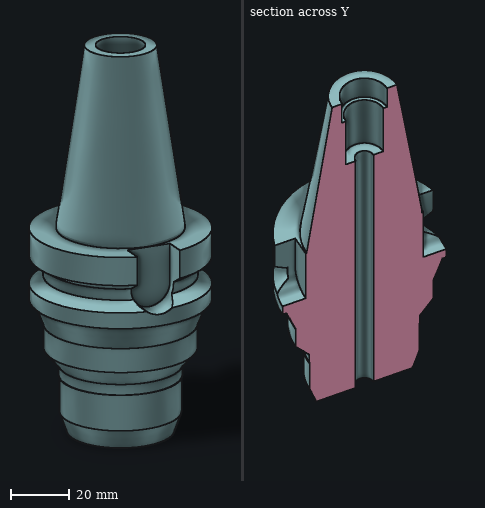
import cadquery as cq

taper_top = 140.4
taper_base = 75.0
flange_top = 74.0
groove_top = 63.7
flange_bottom = 48.0
groove_rim_height = 53.8
groove_chamfer = 3.0
shoulder_top = 39.0
shoulder_bottom = 30.3
collar_top = 24.1
collar_bottom = 20.2
nose_chamfer_top = 7.2

taper_small_radius = 12.5
taper_large_radius = 22.2
flange_radius = 31.52
groove_radius = 26.7
neck_top_radius = 30.0
shoulder_radius = 26.5
collar_radius = 21.3
nose_radius = 21.0
nose_tip_radius = 18.5

pilot_radius = 8.5
pilot_depth = 9.1
thread_radius = 7.2
thread_depth = 30.0
through_radius = 3.4

slot_width = 16.1
slot_floor_x = 22.6
slot_bottom = 52.2


def make_body():
    """Revolve the half profile of the tool holder about Z."""
    profile = [
        (0, 0),
        (nose_tip_radius, 0),
        (nose_radius, nose_chamfer_top),
        (nose_radius, collar_bottom),
        (collar_radius, collar_bottom),
        (collar_radius, collar_top),
        (shoulder_radius, shoulder_bottom),
        (shoulder_radius, shoulder_top),
        (neck_top_radius, flange_bottom),
        (flange_radius, flange_bottom),
        (flange_radius, groove_rim_height),
        (groove_radius, groove_rim_height + groove_chamfer),
        (groove_radius, groove_top - groove_chamfer),
        (flange_radius, groove_top),
        (flange_radius, flange_top),
        (taper_large_radius, flange_top),
        (taper_large_radius, taper_base),
        (taper_small_radius, taper_top),
        (0, taper_top),
    ]
    return cq.Workplane("XZ").polyline(profile).close().revolve(360, (0, 0), (0, 1))


def make_drive_slot(side):
    """Cutter from the flat slot floor outward; side is -1 or +1 along X."""
    slot_radius = slot_width / 2
    arc_center = slot_bottom + slot_radius
    return (
        cq.Workplane("YZ", origin=(side * slot_floor_x, 0, 0))
        .moveTo(-slot_radius, flange_top)
        .lineTo(-slot_radius, arc_center)
        .threePointArc((0, slot_bottom), (slot_radius, arc_center))
        .lineTo(slot_radius, flange_top)
        .close()
        .extrude(side * flange_radius)
    )


def make_bore(radius, depth):
    """Cylinder reaching down from the small end of the taper."""
    return cq.Workplane("XY", origin=(0, 0, taper_top)).circle(radius).extrude(-depth)


result = make_body()
for slot_side in (-1, 1):
    result = result.cut(make_drive_slot(slot_side))

bores = [
    (pilot_radius, pilot_depth),
    (thread_radius, thread_depth),
    (through_radius, taper_top),
]
for bore_radius, bore_depth in bores:
    result = result.cut(make_bore(bore_radius, bore_depth))